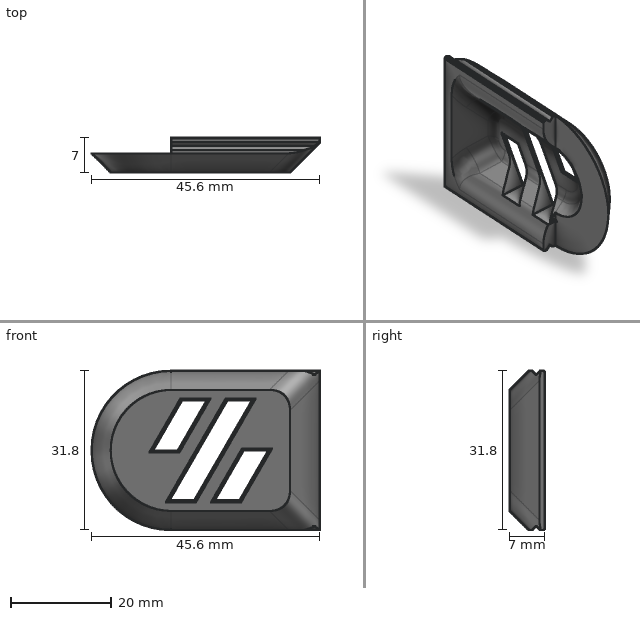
import cadquery as cq
import math

length = 45.6
depth = 7.0
half_height = 15.9

plate_depth = 3.85
nose_x = half_height
front_radius = half_height - plate_depth
front_end_x = 39.6
corner_radius = 5.8

floor_depth = 0.95
pocket_radius = 5.0
pocket_end_x = 37.38
floor_fillet = 3.2
mouth_radius = 7.05

groove_half_width = 0.8
groove_depth = 0.8
groove_y = depth - 1.75
rail_edge_chamfer = 0.27

slot_width = 5.93
slot_slope = math.tan(math.radians(30))
slot_half_height = 10.35
slot_middle_z = 0.4
slot_spacing = 9.02
slot_chamfer = 0.4


def flared_block(start_y, end_y, start_half_height, start_end_x, edge_radius, extras=()):
    """Block from the nose centre towards +X, growing at 45 degrees on three sides as Y increases.

    Any extras are joined on before the two slanted corners are rounded.
    """
    growth = end_y - start_y
    side = (
        cq.Workplane("XY")
        .polyline([
            (nose_x, start_y),
            (start_end_x, start_y),
            (start_end_x + growth, end_y),
            (nose_x, end_y),
        ])
        .close()
        .extrude(start_half_height + growth, both=True)
    )
    end_half_height = start_half_height + growth
    section = (
        cq.Workplane("YZ", origin=(nose_x, 0, 0))
        .polyline([
            (start_y, -start_half_height),
            (end_y, -end_half_height),
            (end_y, end_half_height),
            (start_y, start_half_height),
        ])
        .close()
        .extrude(start_end_x + growth - nose_x)
    )
    slanted = cq.selectors.ParallelDirSelector(cq.Vector(1, 1, 1))
    slanted_mirror = cq.selectors.ParallelDirSelector(cq.Vector(1, 1, -1))
    block = side.intersect(section)
    for extra in extras:
        block = block.union(extra)
    return block.edges(slanted + slanted_mirror).fillet(edge_radius)


def nose_cone(start_y, end_y, start_radius):
    """Cone about the nose centre, growing at 45 degrees as Y increases."""
    return (
        cq.Workplane("XY", origin=(nose_x, 0, 0))
        .polyline([
            (0, start_y),
            (start_radius, start_y),
            (start_radius + end_y - start_y, end_y),
            (0, end_y),
        ])
        .close()
        .revolve(360, (0, 0, 0), (0, 1, 0))
    )


def outer_body():
    limits = (
        cq.Workplane("XY")
        .box(length - nose_x, depth, 2 * half_height, centered=(False, False, True))
        .translate((nose_x, 0, 0))
    )
    rails = flared_block(0, depth, front_radius, front_end_x, corner_radius).intersect(limits)
    return rails.union(nose_cone(0, plate_depth, front_radius))


def pocket():
    mouths = [pocket_mouth(1), pocket_mouth(-1)]
    straight = flared_block(floor_depth, depth, pocket_radius, pocket_end_x, corner_radius, mouths)
    nose = nose_cone(floor_depth, depth, pocket_radius)
    return straight.union(nose).faces("<Y").edges().fillet(floor_fillet)


def pocket_mouth(side):
    """Sliver that rounds one long pocket edge over into the back face; side is +1 or -1 in Z."""
    edge_z = pocket_radius + depth - floor_depth
    half_turn = math.radians(22.5)
    setback = mouth_radius * math.tan(half_turn)
    leg = setback * math.sqrt(0.5)
    centre_y = depth - mouth_radius
    centre_z = edge_z + setback
    arc_middle = (
        centre_y + mouth_radius * math.cos(half_turn),
        centre_z - mouth_radius * math.sin(half_turn),
    )
    sliver = (
        cq.Workplane("YZ", origin=(nose_x, 0, 0))
        .moveTo(depth - leg, side * (edge_z - leg))
        .threePointArc(
            (arc_middle[0], side * arc_middle[1]),
            (depth, side * centre_z),
        )
        .lineTo(depth, side * (edge_z - leg))
        .close()
        .extrude(length)
    )
    end_limit = (
        cq.Workplane("XY")
        .polyline([
            (nose_x, floor_depth),
            (pocket_end_x, floor_depth),
            (pocket_end_x + depth - floor_depth, depth),
            (nose_x, depth),
        ])
        .close()
        .extrude(half_height, both=True)
    )
    return sliver.intersect(end_limit)


def rail_cut(side):
    """V groove and back edge chamfer along the rail on one side in Z."""
    top = side * half_height
    groove = (
        cq.Workplane("YZ", origin=(nose_x, 0, 0))
        .polyline([
            (groove_y - groove_half_width, top),
            (groove_y, top - side * groove_depth),
            (groove_y + groove_half_width, top),
        ])
        .close()
        .extrude(length)
    )
    chamfer = (
        cq.Workplane("YZ", origin=(nose_x, 0, 0))
        .polyline([
            (depth - rail_edge_chamfer, top),
            (depth, top - side * rail_edge_chamfer),
            (depth, top),
        ])
        .close()
        .extrude(length)
    )
    return groove.union(chamfer)


def slot(centre_x, bottom_z, top_z):
    """Slanted slot through the full depth; centre_x is where its centre line crosses Z = 0."""

    def outline(inset):
        half_width = slot_width / 2 - inset * math.hypot(1, slot_slope)
        low = bottom_z + inset
        high = top_z - inset
        return [
            (centre_x + low * slot_slope - half_width, low),
            (centre_x + low * slot_slope + half_width, low),
            (centre_x + high * slot_slope + half_width, high),
            (centre_x + high * slot_slope - half_width, high),
        ]

    through = cq.Workplane("XZ").polyline(outline(slot_chamfer)).close().extrude(-depth)
    front_edge = (
        cq.Workplane("XZ")
        .polyline(outline(0))
        .close()
        .workplane(offset=-slot_chamfer)
        .polyline(outline(slot_chamfer))
        .close()
        .loft(ruled=True)
    )
    return through.union(front_edge)


slot_centre_x = 23.8
result = outer_body().cut(pocket())
for side in (1, -1):
    result = result.cut(rail_cut(side))

result = result.cut(slot(slot_centre_x, -slot_half_height, slot_half_height))
result = result.cut(slot(slot_centre_x - slot_spacing, -slot_middle_z, slot_half_height))
result = result.cut(slot(slot_centre_x + slot_spacing, -slot_half_height, slot_middle_z))